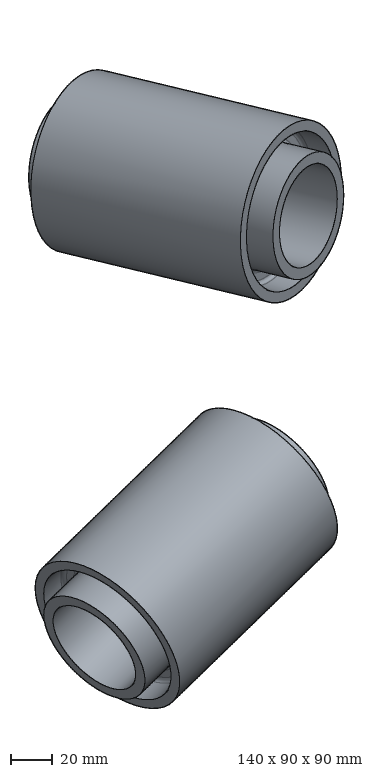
import cadquery as cq

inner_length = 140.0
bore_diameter = 51.4
inner_diameter = 63.0
outer_bore_diameter = 79.2
outer_diameter = 90.0
sleeve_overhang = 10.0
recess_depth = 15.0
fillet_radius = 2.0

outer_length = inner_length - 2 * sleeve_overhang
core_length = outer_length - 2 * recess_depth


def tube(length, outside_diameter, inside_diameter):
    """Hollow cylinder along X, centred on the origin."""
    return (
        cq.Workplane("YZ", origin=(-length / 2, 0, 0))
        .circle(outside_diameter / 2)
        .circle(inside_diameter / 2)
        .extrude(length)
    )


inner_sleeve = tube(inner_length, inner_diameter, bore_diameter)
outer_sleeve = tube(outer_length, outer_diameter, outer_bore_diameter)
core = tube(core_length, outer_bore_diameter, inner_diameter)
bushing = inner_sleeve.union(core).union(outer_sleeve)

result = (
    bushing.faces("<X[-3] or >X[-3]")
    .edges()
    .fillet(fillet_radius)
)